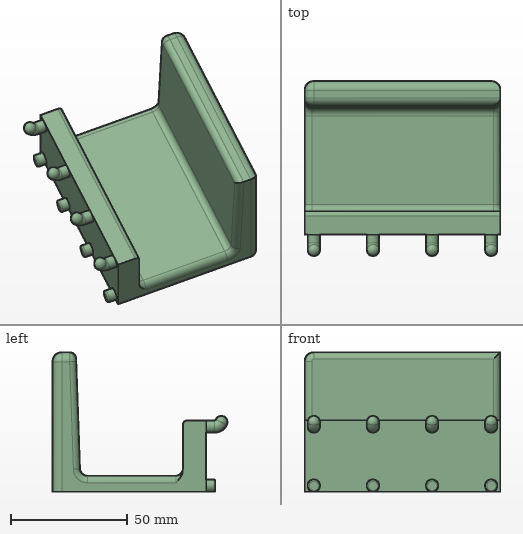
import cadquery as cq
import math

peg_count = 4
peg_pitch = 25.4
peg_diameter = 5.35
peg_radius = peg_diameter / 2
peg_edge_distance = 4.0
body_width = (peg_count - 1) * peg_pitch + 2 * peg_edge_distance
body_depth = 66.0
body_height = 60.0

block_depth = 10.0
floor_thickness = 7.0
wall_foot_thickness = 12.0
wall_draft_angle = math.radians(2)

block_lip_radius = 2.0
inner_radius = 3.0
outer_radius = 4.0

lower_peg_height = peg_radius
upper_peg_height = lower_peg_height + peg_pitch
block_height = upper_peg_height + peg_radius
lower_peg_length = 4.0
lower_peg_tip_radius = 0.65
hook_reach = 9.25
hook_bend_radius = 3.3
hook_bend_angle = math.radians(65)
hook_straight_length = hook_reach - peg_radius - hook_bend_radius * math.sin(hook_bend_angle)
peg_embed = 2.0


def select_edges(body, low, high):
    """Edges lying wholly inside the box between two opposite corners."""
    tolerance = 0.01
    selector = cq.selectors.BoxSelector(
        tuple(value - tolerance for value in low),
        tuple(value + tolerance for value in high),
        boundingbox=True,
    )
    return body.edges(selector)


def make_floor_and_wall():
    """L-shaped floor and leaning back wall, starting at the block and rounded along the rims."""
    foot_y = body_depth - wall_foot_thickness
    top_y = foot_y + (body_height - floor_thickness) * math.tan(wall_draft_angle)
    body = (
        cq.Workplane("YZ")
        .moveTo(block_depth, 0)
        .lineTo(body_depth, 0)
        .lineTo(body_depth, body_height)
        .lineTo(top_y, body_height)
        .lineTo(foot_y, floor_thickness)
        .lineTo(block_depth, floor_thickness)
        .close()
        .extrude(body_width)
    )
    body = select_edges(
        body, (0, top_y, body_height), (0, body_depth, body_height)
    ).fillet(outer_radius)
    body = select_edges(
        body, (0, foot_y, floor_thickness), (body_width, foot_y, floor_thickness)
    ).fillet(inner_radius)
    body = body.faces(">Y").edges("not <Z").fillet(outer_radius)
    return select_edges(
        body, (0, block_depth, floor_thickness), (body_width, foot_y, floor_thickness)
    ).edges("|Y").fillet(inner_radius)


def make_block():
    """Mounting block at Y = 0 with a rounded upper lip facing the wall."""
    return (
        cq.Workplane("XY")
        .box(body_width, block_depth, block_height, centered=False)
        .faces(">Y")
        .edges(">Z")
        .fillet(block_lip_radius)
    )


def make_floor_block_fillet():
    """Concave fillet between floor and block, following the rounded floor rims at both ends."""
    rim_axis_z = floor_thickness - inner_radius
    tangent_y = block_depth + inner_radius
    arc_offset = inner_radius * (1 - math.cos(math.radians(45)))

    def profile(x):
        """Fillet section at x, measured upward from the axis of the rim rounding."""
        return (
            cq.Workplane("YZ", origin=(x, 0, rim_axis_z))
            .moveTo(block_depth, 0)
            .lineTo(tangent_y, 0)
            .lineTo(tangent_y, inner_radius)
            .threePointArc(
                (block_depth + arc_offset, inner_radius + arc_offset),
                (block_depth, 2 * inner_radius),
            )
            .close()
        )

    left_axis_x = inner_radius
    right_axis_x = body_width - inner_radius
    fillet = profile(left_axis_x).extrude(right_axis_x - left_axis_x)
    for axis_x in (left_axis_x, right_axis_x):
        fillet = fillet.union(profile(axis_x).revolve(360, (0, 0), (1, 0)))
    envelope = cq.Workplane("XY").box(body_width, body_depth, body_height, centered=False)
    return fillet.intersect(envelope)


def make_lower_peg(x):
    """Straight peg along -Y with a rounded tip edge."""
    return (
        cq.Workplane("XZ", origin=(x, peg_embed, lower_peg_height))
        .circle(peg_radius)
        .extrude(lower_peg_length + peg_embed)
        .faces("<Y")
        .edges()
        .fillet(lower_peg_tip_radius)
    )


def make_hook(x):
    """Peg that runs out along -Y, bends upward and ends in a ball."""

    def bend_point(angle):
        """Point (y, z) on the centre line of the bend after turning by the angle."""
        y = -hook_straight_length - hook_bend_radius * math.sin(angle)
        z = upper_peg_height + hook_bend_radius * (1 - math.cos(angle))
        return (y, z)

    tip_y, tip_z = bend_point(hook_bend_angle)
    path = (
        cq.Workplane("YZ", origin=(x, 0, 0))
        .moveTo(peg_embed, upper_peg_height)
        .lineTo(-hook_straight_length, upper_peg_height)
        .threePointArc(bend_point(hook_bend_angle / 2), (tip_y, tip_z))
    )
    stem = (
        cq.Workplane("XZ", origin=(x, peg_embed, upper_peg_height))
        .circle(peg_radius)
        .sweep(path)
    )
    ball = cq.Workplane("XY", origin=(x, tip_y, tip_z)).sphere(peg_radius)
    return stem.union(ball)


result = make_floor_and_wall()
result = result.union(make_block())
result = result.union(make_floor_block_fillet())
for peg_index in range(peg_count):
    peg_x = peg_edge_distance + peg_index * peg_pitch
    result = result.union(make_lower_peg(peg_x))
    result = result.union(make_hook(peg_x))